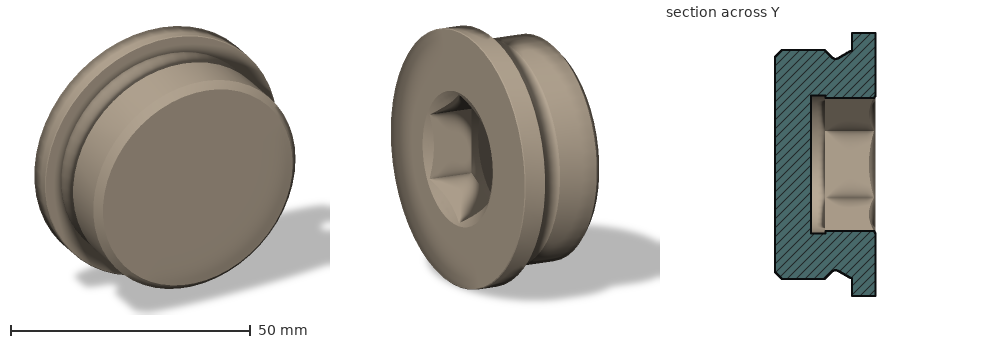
import cadquery as cq
import math

total_length = 21.0
head_radius = 27.5
head_thickness = 5.0
head_edge_chamfer = 0.15

shank_start = 10.6
shank_radius = 23.9
shank_chamfer = 1.5

neck_radius = 22.1
neck_fillet = 1.1
neck_head_angle = math.radians(30)
neck_shank_angle = math.radians(45)
collar_length = 0.15

socket_flats = 24.0
socket_depth = 10.5
socket_mouth_radius = 14.35
countersink_angle = math.radians(30)

relief_radius = socket_mouth_radius
relief_end = 13.5


def make_body():
    """Turn the head, relief neck and shank as one solid."""
    shank_arc_radius = neck_radius + neck_fillet * (1 - math.cos(neck_shank_angle))
    shank_arc_x = shank_start - (shank_radius - shank_arc_radius) / math.tan(neck_shank_angle)
    neck_floor_x = shank_arc_x - neck_fillet * math.sin(neck_shank_angle)
    head_arc_radius = neck_radius + neck_fillet * (1 - math.cos(neck_head_angle))
    head_arc_x = neck_floor_x - neck_fillet * math.sin(neck_head_angle)

    collar_end = head_thickness + collar_length
    collar_radius = head_arc_radius + (head_arc_x - collar_end) * math.tan(neck_head_angle)

    profile = (
        cq.Workplane("XY")
        .lineTo(0, head_radius - head_edge_chamfer)
        .lineTo(head_edge_chamfer, head_radius)
        .lineTo(head_thickness - head_edge_chamfer, head_radius)
        .lineTo(head_thickness, head_radius - head_edge_chamfer)
        .lineTo(head_thickness, collar_radius)
        .lineTo(collar_end, collar_radius)
        .lineTo(head_arc_x, head_arc_radius)
        .threePointArc((neck_floor_x, neck_radius), (shank_arc_x, shank_arc_radius))
        .lineTo(shank_start, shank_radius)
        .lineTo(total_length - shank_chamfer, shank_radius)
        .lineTo(total_length, shank_radius - shank_chamfer)
        .lineTo(total_length, 0)
        .close()
    )
    return profile.revolve(360, (0, 0, 0), (1, 0, 0))


def make_socket():
    """Hexagon with corners up and down, its countersunk mouth and round relief."""
    corner_diameter = socket_flats / math.cos(math.pi / 6)
    hexagon = (
        cq.Workplane("YZ")
        .transformed(rotate=(0, 0, 90))
        .polygon(6, corner_diameter)
        .extrude(socket_depth)
    )
    countersink = (
        cq.Workplane("XY")
        .lineTo(0, socket_mouth_radius)
        .lineTo(socket_mouth_radius * math.tan(countersink_angle), 0)
        .close()
        .revolve(360, (0, 0, 0), (1, 0, 0))
    )
    relief = (
        cq.Workplane("YZ", origin=(socket_depth, 0, 0))
        .circle(relief_radius)
        .extrude(relief_end - socket_depth)
    )
    return hexagon.union(countersink).union(relief)


result = make_body().cut(make_socket())